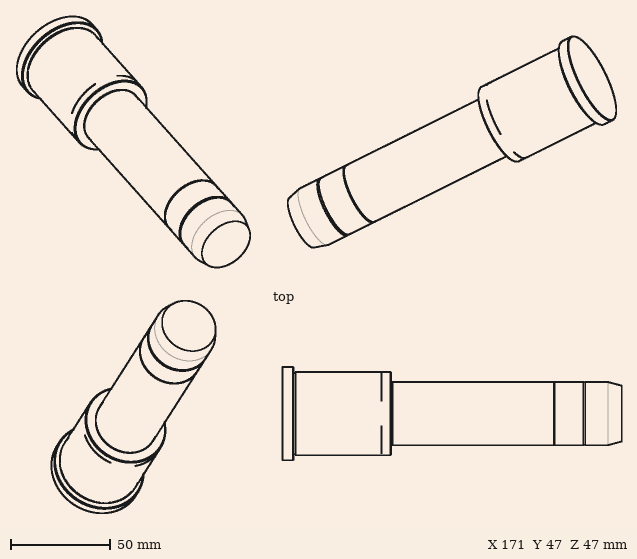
import cadquery as cq
import math

total_length = 171.0
head_diameter = 47.0
head_length = 6.0
head_chamfer = 0.5
head_face_chamfer = 0.3
collar_diameter = 42.0
collar_end = 54.9
collar_chamfer = 0.5
pin_diameter = 32.0

scribe_position = 50.1
scribe_width = 0.2
scribe_depth = 0.09
scribe_count = 4
scribe_sweep = 54.0

neck_width = 0.9
neck_depth = 0.5
pin_neck_width = 0.7
pin_neck_depth = 0.2

ring_groove_starts = (136.6, 151.5)
ring_groove_widths = (0.5, 1.0)
ring_groove_depth = 0.2

tip_length = 7.2
tip_angle = 15.0


def cylinder(diameter, start, end):
    """Solid cylinder along X between two stations."""
    return cq.Workplane("YZ", origin=(start, 0, 0)).circle(diameter / 2).extrude(end - start)


def ring_groove(diameter, start, width, depth):
    """Ring of material to remove from a cylinder of the given diameter."""
    outer = cylinder(diameter + 2 * depth, start, start + width)
    return outer.cut(cylinder(diameter - 2 * depth, start, start + width))


def make_head():
    head = cylinder(head_diameter, 0, head_length)
    head = head.faces("<X").edges().chamfer(head_face_chamfer)
    return head.faces(">X").edges().chamfer(head_chamfer)


def scribed_arc(mid_angle):
    """Short arc of thin groove, centred at an angle about X measured from +Y."""
    section = cq.Workplane("XY").center(scribe_position, collar_diameter / 2)
    arc = section.rect(scribe_width, 2 * scribe_depth).revolve(
        scribe_sweep,
        (-scribe_position, -collar_diameter / 2, 0),
        (1.7 - scribe_position, -collar_diameter / 2, 0),
    )
    return arc.rotate((0, 0, 0), (1, 0, 0), mid_angle - scribe_sweep / 2)


def make_collar():
    neck_end = head_length + neck_width
    neck = cylinder(collar_diameter - 2 * neck_depth, head_length, neck_end)
    body = cylinder(collar_diameter, neck_end, collar_end)
    body = body.faces(">X").edges().chamfer(collar_chamfer)
    spacing = 360 / scribe_count
    for index in range(scribe_count):
        body = body.cut(scribed_arc((index + 0.5) * spacing))
    return neck.union(body)


def make_pin():
    tip_start = total_length - tip_length
    pin_radius = pin_diameter / 2
    tip_radius = pin_radius - tip_length * math.tan(math.radians(tip_angle))
    pin = (
        cq.Workplane("XY")
        .moveTo(collar_end, 0)
        .lineTo(collar_end, pin_radius)
        .lineTo(tip_start, pin_radius)
        .lineTo(total_length, tip_radius)
        .lineTo(total_length, 0)
        .close()
        .revolve(360, (0, 0, 0), (1, 0, 0))
    )
    pin = pin.cut(ring_groove(pin_diameter, collar_end, pin_neck_width, pin_neck_depth))
    for start, width in zip(ring_groove_starts, ring_groove_widths):
        pin = pin.cut(ring_groove(pin_diameter, start, width, ring_groove_depth))
    return pin


result = make_head().union(make_collar()).union(make_pin())